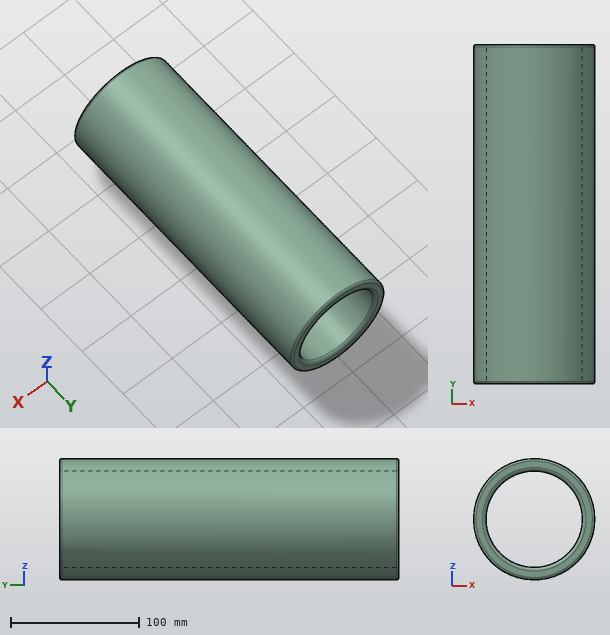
import cadquery as cq

length = 265.0
outer_diameter = 95.0
bore_diameter = 75.0
outer_rim_fillet = 2.0
bore_rim_fillet = 3.0

tube = (
    cq.Workplane("XZ", origin=(0, length / 2, 0))
    .circle(outer_diameter / 2)
    .circle(bore_diameter / 2)
    .extrude(length)
)

largest_circles = cq.selectors.RadiusNthSelector(-1)
smallest_circles = cq.selectors.RadiusNthSelector(0)
tube = tube.edges("%CIRCLE").edges(largest_circles).fillet(outer_rim_fillet)
result = tube.faces("<Y or >Y").edges(smallest_circles).fillet(bore_rim_fillet)